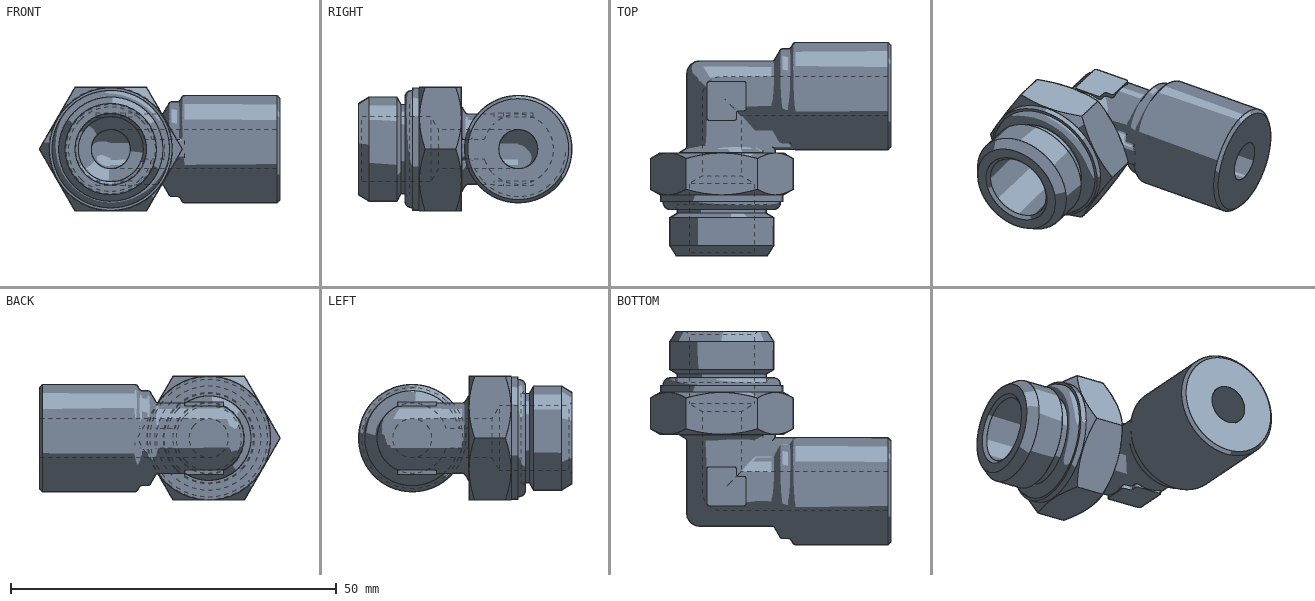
import cadquery as cq
import math


OVERALL_LENGTH = 36.97
MARGIN = 0.05
EDGE = 0.5
STEEP_SLOPE = math.tan(math.radians(60))
SHALLOW_SLOPE = math.tan(math.radians(30))

HEX_FLATS = 19.0
HEX_CORNERS = HEX_FLATS / math.cos(math.pi / 6)
HEX_START = 8.72
HEX_END = 15.2

BODY_RADIUS = 5.4
SHOULDER_START = 8.0
CORNER_FILLET = 2.0
BORE_DIAMETER = 6.0
CREASE_FILLET = 0.3

SOCKET_RADIUS = 8.25
SOCKET_END = OVERALL_LENGTH - HEX_CORNERS / 2
COLLAR_RADIUS = 7.3
COLLAR_END = 10.5

SHOULDER_END = 8.6
STUD_END = 24.5
STUD_RADIUS = 8.005
STUD_TIP_RADIUS = 7.005
STUD_CHAMFER_LENGTH = 1.6
GROOVE_RADIUS = 6.858
GROOVE_LENGTH = 0.55
RING_END = 17.4
RING_START = 16.2
RING_RADIUS = 9.02
RING_SECTION_RADIUS = 1.1
WASHER_RADIUS = 9.41
STUD_BORE_RADIUS = 5.0
STUD_BORE_MOUTH_RADIUS = 5.49
STUD_BORE_DEPTH = 11.1
DRILL_POINT_HALF_ANGLE = 59

RIB_THICKNESS = 3.0
RIB_REACH = 8.2
RIB_OVERLAP = 0.8

PAD_HEIGHT = 5.55
PAD_SIZE = 6.0
PAD_CORNER = -2.25
PAD_NOTCH = 1.48
PAD_FILLET = 0.37


def revolve_about_x(points):
    """Solid of revolution about X from (x, radius) points."""
    return cq.Workplane("XY").polyline(points).close().revolve(360, (0, 0), (1, 0))


def revolve_about_y(points):
    """Solid of revolution about Y from (distance along -Y, radius) points."""
    outline = [(radius, -distance) for distance, radius in points]
    return cq.Workplane("XY").polyline(outline).close().revolve(360, (0, 0), (0, 1))


def box_around(low, high):
    """Selector for edges centred between two points, with a small margin."""
    return cq.selectors.BoxSelector([v - MARGIN for v in low], [v + MARGIN for v in high])


def round_circle(solid, centre, radius):
    """Fillet the largest circular edge around the given centre."""
    circles = solid.edges("%CIRCLE").edges(box_around(centre, centre))
    return circles.edges(cq.selectors.RadiusNthSelector(-1)).fillet(radius)


def make_socket():
    collar_start = SHOULDER_START + (COLLAR_RADIUS - BODY_RADIUS) / STEEP_SLOPE
    socket_start = COLLAR_END + (SOCKET_RADIUS - COLLAR_RADIUS) / STEEP_SLOPE
    socket = revolve_about_x([
        (0, 0),
        (0, BODY_RADIUS),
        (SHOULDER_START, BODY_RADIUS),
        (collar_start, COLLAR_RADIUS),
        (COLLAR_END, COLLAR_RADIUS),
        (socket_start, SOCKET_RADIUS),
        (SOCKET_END, SOCKET_RADIUS),
        (SOCKET_END, 0),
    ])
    for x in (SHOULDER_START, collar_start, COLLAR_END, socket_start):
        socket = round_circle(socket, (x, 0, 0), EDGE)
    return socket.faces(">X").edges().chamfer(EDGE)


def make_stud():
    shoulder_radius = BODY_RADIUS + (SHOULDER_END - SHOULDER_START) * STEEP_SLOPE
    groove_end = RING_END + GROOVE_LENGTH
    stud = revolve_about_y([
        (0, 0),
        (0, BODY_RADIUS),
        (SHOULDER_START, BODY_RADIUS),
        (SHOULDER_END, shoulder_radius),
        (HEX_END, shoulder_radius),
        (HEX_END, WASHER_RADIUS),
        (RING_START, WASHER_RADIUS),
        (RING_START, GROOVE_RADIUS),
        (groove_end, GROOVE_RADIUS),
        (groove_end + (STUD_RADIUS - GROOVE_RADIUS) * SHALLOW_SLOPE, STUD_RADIUS),
        (STUD_END - STUD_CHAMFER_LENGTH, STUD_RADIUS),
        (STUD_END, STUD_TIP_RADIUS),
        (STUD_END, 0),
    ])
    return round_circle(stud, (0, -SHOULDER_START, 0), EDGE)


def make_seal_ring():
    """O-ring seated on the washer face and slightly sunk into the groove."""
    return (
        cq.Workplane("XY")
        .center(RING_RADIUS - RING_SECTION_RADIUS, RING_SECTION_RADIUS - RING_END)
        .circle(RING_SECTION_RADIUS)
        .revolve(360, (RING_SECTION_RADIUS - RING_RADIUS, 0), (RING_SECTION_RADIUS - RING_RADIUS, 1))
    )


def make_hexagon():
    inscribed_radius = HEX_FLATS / 2
    corner_radius = HEX_CORNERS / 2
    start_chamfer = (corner_radius - inscribed_radius) * SHALLOW_SLOPE
    end_chamfer = (corner_radius - WASHER_RADIUS) * SHALLOW_SLOPE
    prism = (
        cq.Workplane("XZ", origin=(0, -HEX_START, 0))
        .polygon(6, HEX_CORNERS)
        .extrude(HEX_END - HEX_START)
    )
    turned = revolve_about_y([
        (HEX_START, 0),
        (HEX_START, inscribed_radius),
        (HEX_START + start_chamfer, corner_radius),
        (HEX_END - end_chamfer, corner_radius),
        (HEX_END, WASHER_RADIUS),
        (HEX_END, 0),
    ])
    return prism.intersect(turned)


def make_outer_corner():
    """Mitred quarter where the two body cylinders meet."""
    along_x = cq.Workplane("YZ").circle(BODY_RADIUS).extrude(-BODY_RADIUS)
    along_y = cq.Workplane("XZ").circle(BODY_RADIUS).extrude(-BODY_RADIUS)
    return along_x.intersect(along_y)


def make_pads():
    far = PAD_CORNER + PAD_SIZE
    notch = far - PAD_NOTCH
    outline = [
        (PAD_CORNER, -PAD_CORNER),
        (far, -PAD_CORNER),
        (far, -notch),
        (notch, -notch),
        (notch, -far),
        (PAD_CORNER, -far),
    ]
    return (
        cq.Workplane("XY")
        .polyline(outline)
        .close()
        .extrude(PAD_HEIGHT, both=True)
        .edges("|Z")
        .fillet(PAD_FILLET)
    )


def make_rib():
    half_thickness = RIB_THICKNESS / 2
    reach = RIB_REACH
    right = COLLAR_END + RIB_OVERLAP
    bottom = HEX_START + RIB_OVERLAP
    outline = [
        (0, 0),
        (right, 0),
        (right, -reach),
        (reach, -reach),
        (reach, -bottom),
        (0, -bottom),
    ]
    rib = cq.Workplane("XY").polyline(outline).close().extrude(half_thickness, both=True)
    outer_edges = box_around((reach, -bottom, -half_thickness), (right, -reach, half_thickness))
    return rib.edges("not |Z").edges(outer_edges).fillet(EDGE)


def make_bores():
    radius = BORE_DIAMETER / 2
    socket_bore = cq.Workplane("YZ").circle(radius).extrude(SOCKET_END)
    bend = cq.Workplane("XY").sphere(radius)
    mouth_depth = STUD_BORE_MOUTH_RADIUS - STUD_BORE_RADIUS
    bore_bottom = STUD_END - STUD_BORE_DEPTH
    cone_length = (STUD_BORE_RADIUS - radius) / math.tan(math.radians(DRILL_POINT_HALF_ANGLE))
    stud_bore = revolve_about_y([
        (0, 0),
        (0, radius),
        (bore_bottom - cone_length, radius),
        (bore_bottom, STUD_BORE_RADIUS),
        (STUD_END - mouth_depth, STUD_BORE_RADIUS),
        (STUD_END, STUD_BORE_MOUTH_RADIUS),
        (STUD_END, 0),
    ])
    return socket_bore.union(bend).union(stud_bore)


def round_outer_corner(body):
    low = (-BODY_RADIUS, -PAD_CORNER, -BODY_RADIUS)
    high = (PAD_CORNER, BODY_RADIUS, BODY_RADIUS)
    return body.edges("%ELLIPSE").edges(box_around(low, high)).fillet(CORNER_FILLET)


def round_inner_creases(body):
    """Fillet the mitre between the pads and the rib, and the foot of the rib on both sides."""
    half_thickness = RIB_THICKNESS / 2
    foot_start = math.sqrt(BODY_RADIUS**2 - half_thickness**2)
    pad_notch = PAD_CORNER + PAD_SIZE - PAD_NOTCH
    mitre = body.edges("%ELLIPSE").edges(box_around(
        (pad_notch, -foot_start, -BODY_RADIUS), (foot_start, -pad_notch, BODY_RADIUS)))
    foot = body.edges("%LINE").edges(box_around(
        (foot_start, -SHOULDER_START, -half_thickness), (SHOULDER_START, -foot_start, half_thickness)))
    return mitre.add(foot).fillet(CREASE_FILLET)


body = make_socket().union(make_stud()).union(make_outer_corner()).union(make_pads())
body = round_outer_corner(body)
body = body.union(make_rib())
body = round_inner_creases(body)
body = body.union(make_seal_ring()).union(make_hexagon())
result = body.cut(make_bores())